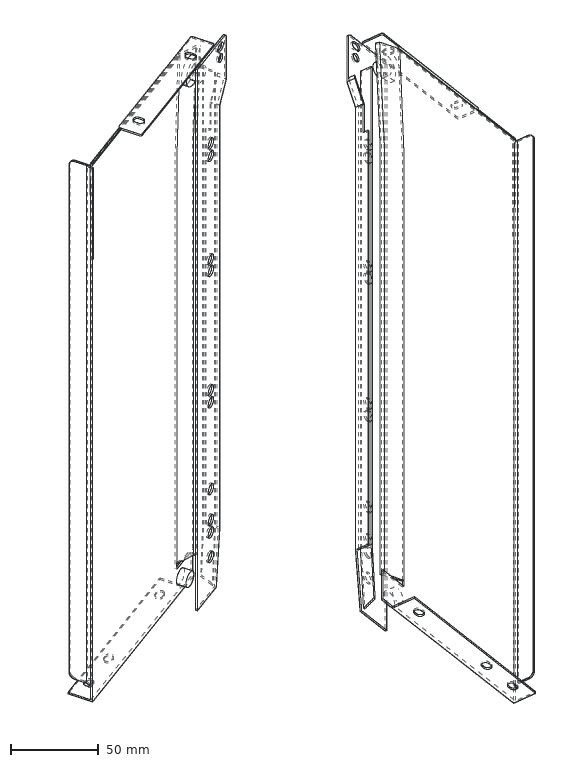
import cadquery as cq
import math

SHEET = 1.2
TOP = 402.0
WIDTH = 30.5
DEPTH = 137.5

PANEL_X = 14.5
PANEL_BOTTOM = 2.0
PANEL_TOP = TOP - SHEET
CREASE_Z = 329.2
SLOPE_TOP = PANEL_TOP - SHEET
CREASE_LEAN = -0.5
STEP_Y = 105.0
STEP_WIDTH = 12.0
STEP_RISE = 5.0
STEP_SHIFT = 4.5
LIP_LENGTH = 2.5
LIP_SLANT = 1.0
LIP_BOTTOM = 26.5
FOOT_TOP = 22.5
FOOT_Y = 124.5

FRONT_BOTTOM = 13.3
FRONT_TOP = 396.8
FRONT_KNEE_X = 11.3
FRONT_SETBACK = 1.2
FRONT_CORNER = 3.5

BASE_LENGTH = 114.0
BASE_SLOT_X = 6.5
BASE_SLOT_YS = (13.3, 37.8, 101.5)
CAP_Y0 = 34.0
CAP_Y1 = 125.0
CAP_CORNER = 1.2
CAP_SLOT_X = 22.0
CAP_SLOT_YS = (45.0, 109.5)
SLOT_LENGTH = 7.0
SLOT_WIDTH = 5.0

STUD_Y = 109.5
STUD_DIAMETER = 10.0
FOOT_STUD_Z = 14.0
FOOT_STUD_END = 21.7
HEAD_STUD_Z = 391.0
HEAD_DIAMETER = 18.5
HEAD_X0 = 21.0
HEAD_X1 = 24.0

PLATE_X = WIDTH - SHEET
PLATE_Y0 = 101.5
PLATE_Y1 = 129.5
PLATE_FOOT_Y = 125.0
TAPER_Z = 41.0
EAR_BOTTOM = 367.0
EAR_SLOPE_END = 353.8
EAR_CORNER = 2.5
EAR_HOLE_Y = 130.2
EAR_SLOT_Z = 396.0
EAR_HOLE_Z = 388.0
EAR_HOLE_DIAMETER = 5.2
RIB_X = 21.7
RIB_Y = 125.0
RIB_TOP = 380.5
RIB_BOTTOM = 3.0
RIB_CUT_HEIGHT = 3.5
RIB_FOOT_DROP = 3.0
REAR_TOP = 333.5
EAR_FLANGE_X = 25.0
HOLE_Y = 118.0
HOLE_DIAMETER = 7.0
HOLE_ZS = (27.5, 45.5, 54.5, 77.5, 142.0, 150.8, 239.0, 247.5, 324.5, 333.5)


def box(x0, x1, y0, y1, z0, z1):
    """Box between two opposite corners."""
    return cq.Workplane("XY").box(x1 - x0, y1 - y0, z1 - z0, centered=False).translate((x0, y0, z0))


def x_cylinder(diameter, x0, x1, y, z):
    """Cylinder whose axis is parallel to X."""
    return cq.Workplane("YZ", origin=(x0, y, z)).circle(diameter / 2).extrude(x1 - x0)


def lip_section(lean, shift):
    """XY outline of the main sheet, its slope and its edge lip."""
    x0 = PANEL_X + lean
    x1 = PANEL_X + STEP_RISE
    x2 = x1 + LIP_LENGTH
    y0 = STEP_Y + shift
    y1 = y0 + STEP_WIDTH
    y2 = y1 + LIP_SLANT
    return [
        (x0, 0), (x0, y0), (x1, y1), (x2, y2),
        (x2, y2 - SHEET), (x1 + SHEET, y1 - SHEET), (x0 + SHEET, y0), (x0 + SHEET, 0),
    ]


def panel_sheet():
    """Main sheet: flat foot, straight stretch with lip, tilted stretch and narrow top strip."""
    low = lip_section(0, 0)
    high = lip_section(CREASE_LEAN, STEP_SHIFT)
    straight = cq.Workplane("XY", origin=(0, 0, LIP_BOTTOM)).polyline(low).close()
    straight = straight.extrude(CREASE_Z - LIP_BOTTOM)
    tilted = (
        cq.Workplane("XY", origin=(0, 0, CREASE_Z)).polyline(low).close()
        .workplane(offset=SLOPE_TOP - CREASE_Z).polyline(high).close().loft(ruled=True)
    )
    neck = box(PANEL_X, PANEL_X + SHEET, 0, STEP_Y, PANEL_BOTTOM, LIP_BOTTOM)
    foot = box(PANEL_X, PANEL_X + SHEET, 0, FOOT_Y, PANEL_BOTTOM, FOOT_TOP)
    head = box(PANEL_X, PANEL_X + SHEET, 0, STEP_Y + STEP_SHIFT, SLOPE_TOP, PANEL_TOP)
    return straight.union(tilted).union(neck).union(foot).union(head)


def front_flange():
    """Flange along the -Y edge: a short sloping strip, then a flat strip toward -X."""
    outline = [
        (PANEL_X + SHEET, 0), (PANEL_X, 0), (FRONT_KNEE_X, FRONT_SETBACK), (0, FRONT_SETBACK),
        (0, FRONT_SETBACK + SHEET), (FRONT_KNEE_X, FRONT_SETBACK + SHEET),
        (PANEL_X, SHEET), (PANEL_X + SHEET, SHEET),
    ]
    flange = cq.Workplane("XY", origin=(0, 0, FRONT_BOTTOM)).polyline(outline).close()
    return flange.extrude(FRONT_TOP - FRONT_BOTTOM).edges("|Y and <X").fillet(FRONT_CORNER)


def slots(points, angle, z):
    """Cutters for slots through a horizontal sheet whose underside is at z."""
    sketch = cq.Workplane("XY", origin=(0, 0, z)).pushPoints(points)
    return sketch.slot2D(SLOT_LENGTH, SLOT_WIDTH, angle).extrude(SHEET)


def base_flange():
    """Flange along the bottom edge, bent toward -X."""
    flange = box(0, PANEL_X + SHEET, 0, BASE_LENGTH, PANEL_BOTTOM, PANEL_BOTTOM + SHEET)
    return flange.cut(slots([(BASE_SLOT_X, y) for y in BASE_SLOT_YS], 90, PANEL_BOTTOM))


def cap_flange():
    """Flange along the top edge, bent toward +X."""
    flange = box(PANEL_X, PLATE_X, CAP_Y0, CAP_Y1, PANEL_TOP, TOP).edges("|Z").fillet(CAP_CORNER)
    return flange.cut(slots([(CAP_SLOT_X, y) for y in CAP_SLOT_YS], 0, PANEL_TOP))


def make_panel():
    foot_stud = x_cylinder(STUD_DIAMETER, PANEL_X + SHEET, FOOT_STUD_END, STUD_Y, FOOT_STUD_Z)
    panel = panel_sheet()
    for feature in (front_flange(), base_flange(), cap_flange(), foot_stud):
        panel = panel.union(feature)
    return panel


def bracket_plate():
    """Plate with the ear at the top, a tapered foot and all its holes."""
    outline = [
        (PLATE_Y0, 0), (PLATE_FOOT_Y, 0), (PLATE_Y1, TAPER_Z), (PLATE_Y1, EAR_SLOPE_END),
        (DEPTH, EAR_BOTTOM), (DEPTH, PANEL_TOP), (PLATE_Y0, PANEL_TOP),
    ]
    plane = cq.Workplane("YZ", origin=(PLATE_X, 0, 0))
    plate = plane.polyline(outline).close().extrude(SHEET)
    plate = plate.edges("|X and >Z and >Y").fillet(EAR_CORNER)
    ear_slot = plane.center(EAR_HOLE_Y, EAR_SLOT_Z).slot2D(SLOT_LENGTH, SLOT_WIDTH).extrude(SHEET)
    ear_hole = plane.center(EAR_HOLE_Y, EAR_HOLE_Z).circle(EAR_HOLE_DIAMETER / 2).extrude(SHEET)
    holes = plane.pushPoints([(HOLE_Y, z) for z in HOLE_ZS]).circle(HOLE_DIAMETER / 2).extrude(SHEET)
    return plate.cut(ear_slot).cut(ear_hole).cut(holes)


def inner_rib():
    """Inner long flange, leaning toward -Y below the taper height, with a cut corner."""
    outline = [
        (RIB_Y, RIB_TOP), (RIB_Y, TAPER_Z), (RIB_Y - RIB_FOOT_DROP, RIB_BOTTOM),
        (RIB_Y - RIB_FOOT_DROP + SHEET, RIB_BOTTOM), (RIB_Y + SHEET, TAPER_Z), (RIB_Y + SHEET, RIB_TOP),
    ]
    rib = cq.Workplane("YZ", origin=(RIB_X, 0, 0)).polyline(outline).close().extrude(WIDTH - RIB_X)
    corner = [(RIB_X, RIB_BOTTOM), (PLATE_X, RIB_BOTTOM), (RIB_X, RIB_BOTTOM + RIB_CUT_HEIGHT)]
    cutter = cq.Workplane("XZ", origin=(0, DEPTH, 0)).polyline(corner).close().extrude(DEPTH)
    return rib.cut(cutter)


def ear_flange():
    """Narrow flange that follows the sloping lower edge of the ear."""
    slope = math.atan2(EAR_BOTTOM - EAR_SLOPE_END, DEPTH - PLATE_Y1)
    rise = SHEET / math.cos(slope)
    inner_y = PLATE_Y1 - SHEET
    outline = [
        (inner_y, REAR_TOP), (PLATE_Y1, REAR_TOP), (PLATE_Y1, EAR_SLOPE_END), (DEPTH, EAR_BOTTOM),
        (DEPTH, EAR_BOTTOM + rise), (inner_y, EAR_SLOPE_END + rise - SHEET * math.tan(slope)),
    ]
    flange = cq.Workplane("YZ", origin=(EAR_FLANGE_X, 0, 0)).polyline(outline).close()
    return flange.extrude(WIDTH - EAR_FLANGE_X)


def make_bracket():
    rear_flange = box(RIB_X, WIDTH, PLATE_Y1 - SHEET, PLATE_Y1, TAPER_Z, REAR_TOP)
    shank = x_cylinder(STUD_DIAMETER, HEAD_X1, PLATE_X, STUD_Y, HEAD_STUD_Z)
    head = x_cylinder(HEAD_DIAMETER, HEAD_X0, HEAD_X1, STUD_Y, HEAD_STUD_Z)
    bracket = bracket_plate()
    for feature in (inner_rib(), ear_flange(), rear_flange, shank, head):
        bracket = bracket.union(feature)
    return bracket


panel = make_panel()
bracket = make_bracket()

result = cq.Compound.makeCompound([panel.val(), bracket.val()])